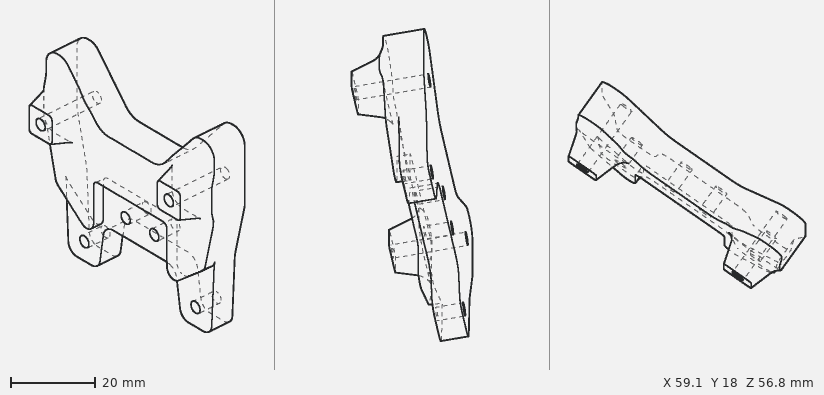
import cadquery as cq
import math

WIDTH = 59.05
HEIGHT = 56.8
TOTAL_DEPTH = 18.0
PLATE_DEPTH = 9.8
LEG_DEPTH = 6.7
HOLE_DIAMETER = 3.2

HALF_WIDTH = WIDTH / 2
SADDLE_HALF_WIDTH = 10.35
SADDLE_Z = 42.05
SADDLE_RADIUS = 6.0
HORN_INNER_X = 23.1
HORN_RADIUS = 4.0
SIDE_BEND_Z = 35.9
SHOULDER_X = 26.05
SHOULDER_Z = 20.4

SHOULDER_BLEND_RADIUS = 12.0
FOOT_OUTER_X = 25.05
FOOT_INNER_X = 14.4
FOOT_RADIUS = 3.0
NOTCH_HALF_WIDTH = 12.4
NOTCH_Z = 13.45
NOTCH_RADIUS = 3.5

PAD_SHOULDER_RADIUS = 3.0
RECESS_HALF_WIDTH = 12.9
RECESS_TOP_Z = 27.2
RECESS_RADIUS = 1.5
PAD_POINT_Z = 9.9
PAD_POINT_RADIUS = 2.5

BOSS_X = 22.5
BOSS_Z = 41.9
BOSS_TIP_SIZE = 8.0
BOSS_TIP_RADIUS = 1.0
BOSS_TAPER = 16.8
BOSS_ROOT_RADIUS = 4.0

CENTER_HOLE_X = 5.0
CENTER_HOLE_Z = 19.0
FOOT_HOLE_X = 19.5
FOOT_HOLE_Z = 5.5


def unit_vector(start, end):
    length = math.dist(start, end)
    return (end[0] - start[0]) / length, (end[1] - start[1]) / length


def corner_arc(previous, corner, following, radius):
    """Return the start, middle and end of the arc that rounds a corner."""
    back = unit_vector(corner, previous)
    ahead = unit_vector(corner, following)
    half_angle = math.acos(back[0] * ahead[0] + back[1] * ahead[1]) / 2
    inward = unit_vector((0, 0), (back[0] + ahead[0], back[1] + ahead[1]))
    setback = radius / math.tan(half_angle)
    middle_distance = radius / math.sin(half_angle) - radius

    def along(direction, distance):
        return corner[0] + direction[0] * distance, corner[1] + direction[1] * distance

    return along(back, setback), along(inward, middle_distance), along(ahead, setback)


def mirrored_prism(half_corners, depth):
    """Extrude a symmetric outline from Y = 0 to Y = -depth.

    half_corners lists (distance from the centre plane, z, corner radius) from top to bottom.
    """
    left = [(-x, z, radius) for x, z, radius in half_corners]
    corners = left + list(reversed(half_corners))
    outline = cq.Workplane("XZ").moveTo(0, half_corners[0][1])
    for index, (x, z, radius) in enumerate(corners):
        if radius == 0:
            outline = outline.lineTo(x, z)
            continue
        previous = corners[index - 1][:2]
        following = corners[(index + 1) % len(corners)][:2]
        start, middle, end = corner_arc(previous, (x, z), following, radius)
        outline = outline.lineTo(*start).threePointArc(middle, end)
    return outline.close().extrude(depth)


def make_boss_blank():
    """Make one tapered boss with a filleted root on an oversized base block."""
    boss_height = TOTAL_DEPTH - PLATE_DEPTH
    growth = 2 * boss_height * math.tan(math.radians(BOSS_TAPER))
    root_size = BOSS_TIP_SIZE + growth
    base_size = root_size + 4 * BOSS_ROOT_RADIUS
    root_corner_radius = BOSS_TIP_RADIUS + growth / 2
    base = cq.Workplane("XZ").rect(base_size, base_size).extrude(PLATE_DEPTH)
    root = cq.Sketch().rect(root_size, root_size).vertices().fillet(root_corner_radius)
    boss = (
        cq.Workplane("XZ", origin=(0, -PLATE_DEPTH, 0))
        .placeSketch(root)
        .extrude(boss_height, taper=BOSS_TAPER)
    )
    margin = BOSS_ROOT_RADIUS / 10
    root_edges = cq.selectors.BoxSelector(
        (-root_size / 2 - margin, -PLATE_DEPTH - margin, -root_size / 2 - margin),
        (root_size / 2 + margin, -PLATE_DEPTH + margin, root_size / 2 + margin),
        boundingbox=True,
    )
    return base.union(boss).edges(root_edges).fillet(BOSS_ROOT_RADIUS)


upper_corners = [
    (SADDLE_HALF_WIDTH, SADDLE_Z, SADDLE_RADIUS),
    (HORN_INNER_X, HEIGHT, HORN_RADIUS),
    (HALF_WIDTH, HEIGHT, HORN_RADIUS),
    (HALF_WIDTH, SIDE_BEND_Z, 0),
]
leg_corners = [
    (SHOULDER_X, SHOULDER_Z, SHOULDER_BLEND_RADIUS),
    (FOOT_OUTER_X, 0, FOOT_RADIUS),
    (FOOT_INNER_X, 0, FOOT_RADIUS),
    (NOTCH_HALF_WIDTH, NOTCH_Z, NOTCH_RADIUS),
]
pad_corners = [
    (SHOULDER_X, SHOULDER_Z, PAD_SHOULDER_RADIUS),
    (RECESS_HALF_WIDTH, PAD_POINT_Z, PAD_POINT_RADIUS),
    (RECESS_HALF_WIDTH, RECESS_TOP_Z, RECESS_RADIUS),
]

back_plate = mirrored_prism(upper_corners + leg_corners, LEG_DEPTH)
pad = mirrored_prism(upper_corners + pad_corners, PLATE_DEPTH)
body = back_plate.union(pad)

boss_limit = mirrored_prism(upper_corners + pad_corners, TOTAL_DEPTH)
boss_blank = make_boss_blank()
for side in (-1, 1):
    boss = boss_blank.translate((side * BOSS_X, 0, BOSS_Z))
    body = body.union(boss.intersect(boss_limit))

hole_positions = [
    (side * x, z)
    for side in (-1, 1)
    for x, z in ((BOSS_X, BOSS_Z), (CENTER_HOLE_X, CENTER_HOLE_Z), (FOOT_HOLE_X, FOOT_HOLE_Z))
]
holes = (
    cq.Workplane("XZ")
    .pushPoints(hole_positions)
    .circle(HOLE_DIAMETER / 2)
    .extrude(TOTAL_DEPTH)
)
result = body.cut(holes)